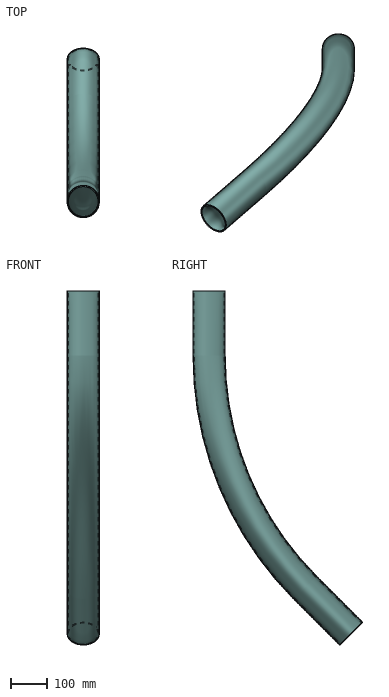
import cadquery as cq
import math

total_height = 982.0
outer_diameter = 89.0
inner_diameter = 82.0
straight_length = 180.0
bend_angle = 45.0

outer_radius = outer_diameter / 2
sine = math.sin(math.radians(bend_angle))
cosine = math.cos(math.radians(bend_angle))

arc_height = total_height - straight_length * (1 + cosine) - outer_radius * sine
bend_radius = arc_height / sine


def arc_point(angle):
    """Point (Y, Z) on the bend centreline, which starts at the origin heading down."""
    turn = math.radians(angle)
    return bend_radius * (1 - math.cos(turn)), -bend_radius * math.sin(turn)


bend_middle = arc_point(bend_angle / 2)
bend_end = arc_point(bend_angle)
lower_end = (
    bend_end[0] + straight_length * sine,
    bend_end[1] - straight_length * cosine,
)
centreline = (
    cq.Workplane("YZ")
    .moveTo(0, straight_length)
    .lineTo(0, 0)
    .threePointArc(bend_middle, bend_end)
    .lineTo(*lower_end)
)

result = (
    cq.Workplane("XY")
    .workplane(offset=straight_length)
    .circle(outer_radius)
    .circle(inner_diameter / 2)
    .sweep(centreline)
)